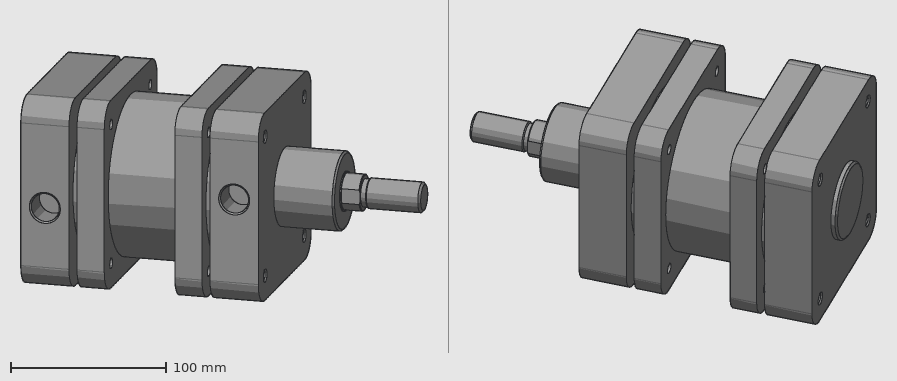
import cadquery as cq

TOTAL_LENGTH = 256.0
BOSS_LENGTH = 4.0
CAP_LENGTH = 32.3
GAP_LENGTH = 5.5
FLANGE_LENGTH = 18.2
BARREL_LENGTH = 94.2
NOSE_LENGTH = 40.2
LIP_LENGTH = 0.8

REAR_CAP_START = BOSS_LENGTH
BARREL_START = REAR_CAP_START + CAP_LENGTH
FRONT_CAP_START = BARREL_START + BARREL_LENGTH
NOSE_START = FRONT_CAP_START + CAP_LENGTH
NOSE_END = NOSE_START + NOSE_LENGTH
ROD_START = NOSE_END + LIP_LENGTH
FLANGE_STARTS = [
    BARREL_START + GAP_LENGTH,
    FRONT_CAP_START - GAP_LENGTH - FLANGE_LENGTH,
]

SQUARE_SIDE = 126.0
CORNER_RADIUS = 15.0
BARREL_DIAMETER = 107.0

BOLT_SPACING = 93.2
BOLT_DIAMETER = 6.7
BOLT_CHAMFER = 1.0
BOLT_DEPTH = 23.0

BOSS_DIAMETER = 52.0
BOSS_CHAMFER = 1.3
LIP_DIAMETER = 26.0

PORT_DIAMETER = 18.7
PORT_CHAMFER = 1.0
PORT_DEPTH = 20.5
PORT_OFFSET = 8.0

ROD_DIAMETER = 24.0
ROD_CHAMFER = 0.5
ROD_FLATS = 22.0
SHOULDER_END = 216.0
NECK_END = 219.5
NECK_DIAMETER = 18.5
THREAD_DIAMETER = 20.0
THREAD_START_CHAMFER = (THREAD_DIAMETER - NECK_DIAMETER) / 2
THREAD_END_CHAMFER = 1.5


def cylinder(start, length, diameter):
    """Cylinder on the X axis."""
    return cq.Workplane("YZ", origin=(start, 0, 0)).circle(diameter / 2).extrude(length)


def square_block(start, length):
    """Square block with rounded corners, centred on the X axis."""
    block = cq.Workplane("YZ", origin=(start, 0, 0)).rect(SQUARE_SIDE, SQUARE_SIDE).extrude(length)
    return block.edges("|X").fillet(CORNER_RADIUS)


def bolt_cylinders(start, length):
    """Four cylinders on the bolt pattern, used as hole cutters."""
    pattern = cq.Workplane("YZ", origin=(start, 0, 0)).rect(BOLT_SPACING, BOLT_SPACING, forConstruction=True)
    return pattern.vertices().circle(BOLT_DIAMETER / 2).extrude(length)


def chamfered_hole(point, direction, diameter, depth, chamfer):
    """Cutter for a blind hole with a chamfered mouth."""
    mouth_radius = diameter / 2 + chamfer
    hole = cq.Solid.makeCylinder(diameter / 2, depth, point, direction)
    mouth = cq.Solid.makeCone(mouth_radius, diameter / 2, chamfer, point, direction)
    return hole.fuse(mouth)


def cut_port(cap, cap_start, height):
    """Cut the port into the -Y side of a cap."""
    mouth = cq.Vector(cap_start + CAP_LENGTH / 2, -SQUARE_SIDE / 2, height)
    return cap.cut(chamfered_hole(mouth, cq.Vector(0, 1, 0), PORT_DIAMETER, PORT_DEPTH, PORT_CHAMFER))


def cut_bolt_holes(cap, face_x, direction):
    """Cut the four blind bolt holes into an outer end face of a cap."""
    for y in (-BOLT_SPACING / 2, BOLT_SPACING / 2):
        for z in (-BOLT_SPACING / 2, BOLT_SPACING / 2):
            mouth = cq.Vector(face_x, y, z)
            axis = cq.Vector(direction, 0, 0)
            cap = cap.cut(chamfered_hole(mouth, axis, BOLT_DIAMETER, BOLT_DEPTH, BOLT_CHAMFER))
    return cap


def make_rear_cap():
    """Rear cap with a low round boss on its outer face."""
    boss = cylinder(0, BOSS_LENGTH, BOSS_DIAMETER).faces("<X").chamfer(BOSS_CHAMFER)
    cap = square_block(REAR_CAP_START, CAP_LENGTH).union(boss)
    cap = cut_port(cap, REAR_CAP_START, -PORT_OFFSET)
    return cut_bolt_holes(cap, REAR_CAP_START, 1)


def make_front_cap():
    """Front cap with a long round nose that ends in a low lip around the rod."""
    nose = cylinder(NOSE_START, NOSE_LENGTH, BOSS_DIAMETER).faces(">X").chamfer(BOSS_CHAMFER)
    lip = cylinder(NOSE_END, LIP_LENGTH, LIP_DIAMETER)
    cap = square_block(FRONT_CAP_START, CAP_LENGTH).union(nose).union(lip)
    cap = cut_port(cap, FRONT_CAP_START, PORT_OFFSET)
    return cut_bolt_holes(cap, NOSE_START, -1)


def make_flange(start):
    """Square flange with a bore for the barrel and four through bolt holes."""
    flange = square_block(start, FLANGE_LENGTH)
    flange = flange.cut(cylinder(start, FLANGE_LENGTH, BARREL_DIAMETER))
    return flange.cut(bolt_cylinders(start, FLANGE_LENGTH))


def make_barrel():
    """Round barrel between the inner faces of the two caps."""
    return cylinder(BARREL_START, BARREL_LENGTH, BARREL_DIAMETER)


def make_rod():
    """Piston rod: shank with two wrench flats, neck and thread stub."""
    shank_length = SHOULDER_END - ROD_START
    shank = cylinder(ROD_START, shank_length, ROD_DIAMETER).faces(">X").chamfer(ROD_CHAMFER)
    flats = cq.Workplane("YZ", origin=(ROD_START, 0, 0)).rect(ROD_FLATS, ROD_DIAMETER).extrude(shank_length)
    neck = cylinder(SHOULDER_END, NECK_END - SHOULDER_END, NECK_DIAMETER)
    thread = cylinder(NECK_END, TOTAL_LENGTH - NECK_END, THREAD_DIAMETER)
    thread = thread.faces("<X").chamfer(THREAD_START_CHAMFER)
    thread = thread.faces(">X").chamfer(THREAD_END_CHAMFER)
    return shank.intersect(flats).union(neck).union(thread)


rear_cap = make_rear_cap()
front_cap = make_front_cap()
barrel = make_barrel()
rod = make_rod()
flanges = [make_flange(start) for start in FLANGE_STARTS]

result = cq.Compound.makeCompound([
    rear_cap.val(),
    front_cap.val(),
    barrel.val(),
    rod.val(),
    *[flange.val() for flange in flanges],
])